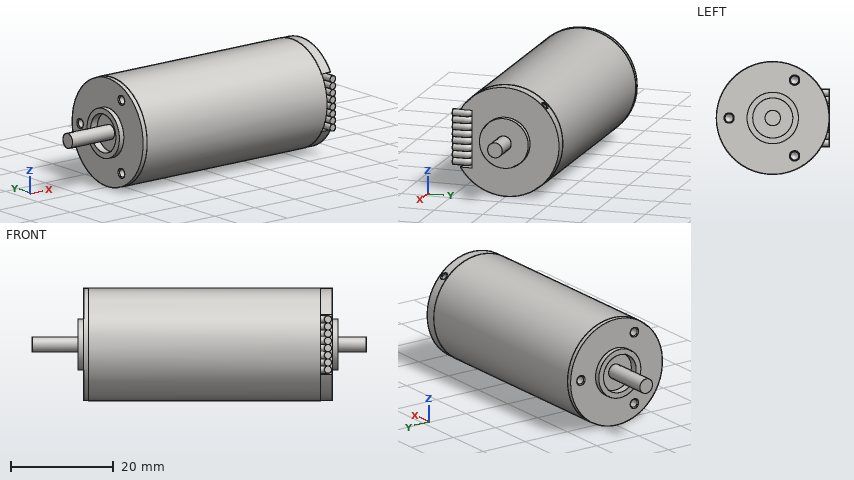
import cadquery as cq
import math

front_flange_length = 1.0
can_length = 45.1
end_cap_length = 2.3
boss_length = 1.1
front_shaft_reach = 10.0
rear_shaft_reach = 6.6

can_start = front_flange_length
cap_start = can_start + can_length
cap_end = cap_start + end_cap_length
shaft_length = front_shaft_reach + cap_end + rear_shaft_reach

can_diameter = 22.0
flange_diameter = 21.9
boss_diameter = 10.0
shaft_diameter = 3.0

recess_diameter = 7.8
recess_depth = 1.65

mount_hole_count = 3
mount_circle_radius = 8.5
mount_hole_diameter = 1.6
mount_hole_mouth_diameter = 2.0
mount_hole_depth = 3.0
drill_point_angle = 118.0

radial_hole_diameter = 1.25
radial_hole_mouth_diameter = 1.6
radial_hole_depth = 2.0
radial_hole_angle = 45.0

notch_height = 11.6
notch_floor = 6.9

wire_count = 8
wire_diameter = 1.4
wire_edge_gap = 0.15
wire_bend_radius = 1.05
wire_root_distance = 7.5
wire_embedment = 0.5
wire_tip_distance = can_diameter / 2


def cylinder_along_x(start, length, diameter):
    """Solid cylinder on the motor axis."""
    return cq.Workplane("YZ", origin=(start, 0, 0)).circle(diameter / 2).extrude(length)


def make_end_cap():
    """Rear cap with a rectangular notch in its -Y side."""
    cap = cylinder_along_x(cap_start, end_cap_length, flange_diameter)
    notch = cq.Workplane("XZ", origin=(cap_start + end_cap_length / 2, -notch_floor, 0)).rect(
        end_cap_length, notch_height
    )
    return cap.cut(notch.extrude(can_diameter / 2))


def make_tapped_hole(diameter, mouth_diameter, depth):
    """Blind hole along +X from the origin, with a chamfered mouth and a conical bottom."""
    radius = diameter / 2
    mouth_radius = mouth_diameter / 2
    point_length = radius / math.tan(math.radians(drill_point_angle / 2))
    profile = (
        cq.Workplane("XY")
        .lineTo(0, mouth_radius)
        .lineTo(mouth_radius - radius, radius)
        .lineTo(depth, radius)
        .lineTo(depth + point_length, 0)
        .close()
    )
    return profile.revolve(360, (0, 0, 0), (1, 0, 0))


def make_mount_hole(angle):
    """Hole in the mounting face, turned about the motor axis from +Y."""
    hole = make_tapped_hole(mount_hole_diameter, mount_hole_mouth_diameter, mount_hole_depth)
    return hole.translate((0, mount_circle_radius, 0)).rotate((0, 0, 0), (1, 0, 0), angle)


def make_radial_hole():
    """Hole pointing at the motor axis, turned from +Z toward +Y."""
    mouth_disc = cq.Workplane("XY").circle(radial_hole_mouth_diameter / 2)
    hole = make_tapped_hole(radial_hole_diameter, radial_hole_mouth_diameter, radial_hole_depth)
    hole = hole.rotate((0, 0, 0), (0, 1, 0), 90).union(mouth_disc.extrude(radial_hole_mouth_diameter))
    rim_depth = math.sqrt((flange_diameter / 2) ** 2 - (radial_hole_mouth_diameter / 2) ** 2)
    hole = hole.translate((cap_start + end_cap_length / 2, 0, rim_depth))
    return hole.rotate((0, 0, 0), (1, 0, 0), -radial_hole_angle)


def make_wire(index):
    """One bent wire, rooted in the can and ending level with its -Y side."""
    exit_x = cap_end - wire_edge_gap - wire_diameter / 2
    bend_start_x = exit_x - wire_bend_radius
    root_x = cap_start - wire_embedment
    z = (index - (wire_count - 1) / 2) * wire_diameter
    path = (
        cq.Workplane("XY", origin=(0, 0, z))
        .moveTo(root_x, -wire_root_distance)
        .lineTo(bend_start_x, -wire_root_distance)
        .tangentArcPoint((exit_x, -wire_root_distance - wire_bend_radius), relative=False)
        .lineTo(exit_x, -wire_tip_distance)
    )
    section = cq.Workplane("YZ", origin=(root_x, -wire_root_distance, z)).circle(wire_diameter / 2)
    return section.sweep(path)


def make_motor():
    """Complete motor: housing, bosses, shaft, holes and lead wires."""
    motor = cylinder_along_x(0, front_flange_length, flange_diameter)
    motor = motor.union(cylinder_along_x(can_start, can_length, can_diameter))
    motor = motor.union(make_end_cap())
    motor = motor.union(cylinder_along_x(-boss_length, boss_length, boss_diameter))
    motor = motor.union(cylinder_along_x(cap_end, boss_length, boss_diameter))
    motor = motor.cut(cylinder_along_x(-boss_length, recess_depth, recess_diameter))
    motor = motor.union(cylinder_along_x(-front_shaft_reach, shaft_length, shaft_diameter))
    for hole_index in range(mount_hole_count):
        motor = motor.cut(make_mount_hole(hole_index * 360 / mount_hole_count))
    motor = motor.cut(make_radial_hole())
    for wire_index in range(wire_count):
        motor = motor.union(make_wire(wire_index))
    return motor


result = make_motor()